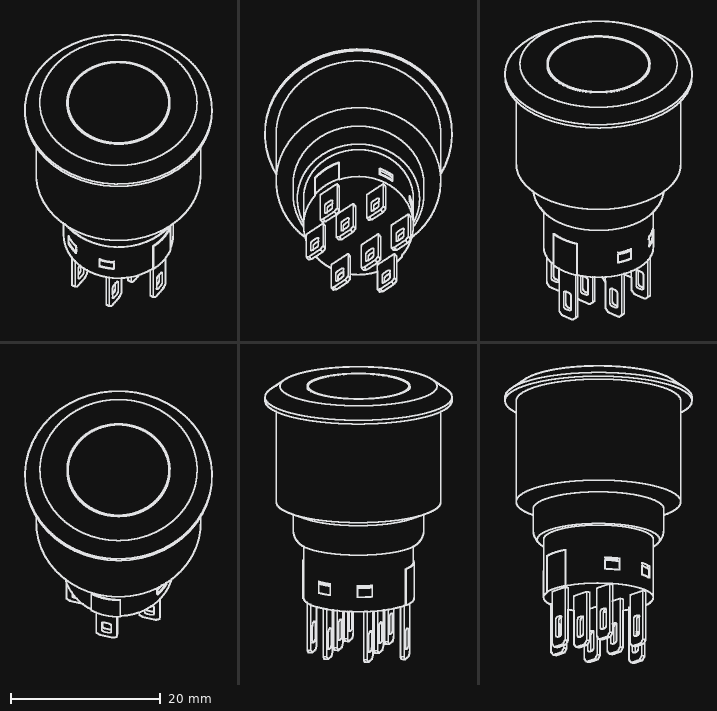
import cadquery as cq
import math

TOTAL_HEIGHT = 37.0

FLANGE_DIAMETER = 25.0
FLANGE_HEIGHT = 2.0
BEVEL_HEIGHT = 1.48
BEVEL_WIDTH = 2.0

BUTTON_DIAMETER = 13.75
BUTTON_BEVEL = 0.15

BARREL_DIAMETER = 22.0
BARREL_BOTTOM_DEPTH = 16.0
TAPER_BOTTOM_DEPTH = 17.0
COLLAR_DIAMETER = 17.5
COLLAR_BOTTOM_DEPTH = 21.2
COLLAR_EDGE_RADIUS = 2.0
COLLAR_EDGE_HEIGHT = 1.4
HOUSING_DIAMETER = 14.7
HOUSING_BOTTOM_DEPTH = 29.23

PANEL_WIDTH = 4.0
PANEL_HEIGHT = 5.0
PANEL_THICKNESS = 0.1

WINDOW_OFFSET = 2.8
WINDOW_WIDTH = 1.8
WINDOW_HEIGHT = 1.6
WINDOW_BOTTOM_DEPTH = 27.25
LATCH_DIAMETER = 14.43
GAP_HEIGHT = 0.37
GAP_FLOOR_DIAMETER = 13.3

TERMINAL_THICKNESS = 0.5
TERMINAL_WIDTH = 2.8
TERMINAL_CHAMFER = 0.48
SHORT_TIP_HEIGHT = 0.6
SHORT_TERMINAL_X = 2.8
SHORT_TERMINAL_PITCH = 5.0
LONG_TERMINAL_X = 6.48
EYELET_WIDTH = 1.25
EYELET_HEIGHT = 2.78
EYELET_CORNER_RADIUS = 0.37
EYELET_ABOVE_TIP = 1.25

FLANGE_BOTTOM = TOTAL_HEIGHT - FLANGE_HEIGHT
BARREL_BOTTOM = TOTAL_HEIGHT - BARREL_BOTTOM_DEPTH
TAPER_BOTTOM = TOTAL_HEIGHT - TAPER_BOTTOM_DEPTH
COLLAR_BOTTOM = TOTAL_HEIGHT - COLLAR_BOTTOM_DEPTH
HOUSING_BOTTOM = TOTAL_HEIGHT - HOUSING_BOTTOM_DEPTH
WINDOW_BOTTOM = TOTAL_HEIGHT - WINDOW_BOTTOM_DEPTH


def cylinder(diameter, bottom, height):
    return cq.Workplane("XY").workplane(offset=bottom).circle(diameter / 2).extrude(height)


def make_body():
    """Turned body; the collar's lower edge is an arc that ends on a flat step."""
    flange_radius = FLANGE_DIAMETER / 2
    barrel_radius = BARREL_DIAMETER / 2
    collar_radius = COLLAR_DIAMETER / 2
    housing_radius = HOUSING_DIAMETER / 2
    edge_reach = math.sqrt(COLLAR_EDGE_RADIUS**2 - COLLAR_EDGE_HEIGHT**2)
    collar_bottom_radius = collar_radius - COLLAR_EDGE_RADIUS + edge_reach
    return (
        cq.Workplane("XZ")
        .moveTo(0, TOTAL_HEIGHT)
        .lineTo(flange_radius - BEVEL_WIDTH, TOTAL_HEIGHT)
        .lineTo(flange_radius, TOTAL_HEIGHT - BEVEL_HEIGHT)
        .lineTo(flange_radius, FLANGE_BOTTOM)
        .lineTo(barrel_radius, FLANGE_BOTTOM)
        .lineTo(barrel_radius, BARREL_BOTTOM)
        .lineTo(collar_radius, TAPER_BOTTOM)
        .lineTo(collar_radius, COLLAR_BOTTOM + COLLAR_EDGE_HEIGHT)
        .radiusArc((collar_bottom_radius, COLLAR_BOTTOM), COLLAR_EDGE_RADIUS)
        .lineTo(housing_radius, COLLAR_BOTTOM)
        .lineTo(housing_radius, HOUSING_BOTTOM)
        .lineTo(0, HOUSING_BOTTOM)
        .close()
        .revolve(360, (0, 0, 0), (0, 1, 0))
    )


def make_button_groove():
    """Ring left between the bevelled button edge and the flange bore."""
    button_radius = BUTTON_DIAMETER / 2
    return (
        cq.Workplane("XZ")
        .moveTo(button_radius - BUTTON_BEVEL, TOTAL_HEIGHT)
        .lineTo(button_radius, TOTAL_HEIGHT)
        .lineTo(button_radius, TOTAL_HEIGHT - BUTTON_BEVEL)
        .close()
        .revolve(360, (0, 0, 0), (0, 1, 0))
    )


def make_side_panels():
    """Thin curved panels on the -X and +X sides of the housing."""
    panel_diameter = HOUSING_DIAMETER + 2 * PANEL_THICKNESS
    bar = (
        cq.Workplane("XY")
        .workplane(offset=HOUSING_BOTTOM)
        .rect(panel_diameter, PANEL_WIDTH)
        .extrude(PANEL_HEIGHT)
    )
    return bar.intersect(cylinder(panel_diameter, HOUSING_BOTTOM, PANEL_HEIGHT))


def make_window_cutters():
    """Four windows: a shallow latch face with a deeper gap above it."""
    gap_bottom = WINDOW_BOTTOM + WINDOW_HEIGHT - GAP_HEIGHT
    columns = (
        cq.Workplane("XY")
        .workplane(offset=WINDOW_BOTTOM)
        .pushPoints([(-WINDOW_OFFSET, 0), (WINDOW_OFFSET, 0)])
        .rect(WINDOW_WIDTH, HOUSING_DIAMETER)
        .extrude(WINDOW_HEIGHT)
    )
    latch_core = cylinder(LATCH_DIAMETER, WINDOW_BOTTOM, WINDOW_HEIGHT - GAP_HEIGHT)
    gap_core = cylinder(GAP_FLOOR_DIAMETER, gap_bottom, GAP_HEIGHT)
    return columns.cut(latch_core).cut(gap_core)


def make_terminal(x, y, tip_height):
    """Upright blade with a chamfered tip and a rounded solder eyelet."""
    blade = (
        cq.Workplane("XY")
        .box(TERMINAL_THICKNESS, TERMINAL_WIDTH, HOUSING_BOTTOM - tip_height, centered=(True, True, False))
        .faces("<Z")
        .edges("|X")
        .chamfer(TERMINAL_CHAMFER)
    )
    eyelet = (
        cq.Workplane("XY")
        .box(TERMINAL_THICKNESS, EYELET_WIDTH, EYELET_HEIGHT, centered=(True, True, False))
        .edges("|X")
        .fillet(EYELET_CORNER_RADIUS)
        .translate((0, 0, EYELET_ABOVE_TIP))
    )
    return blade.cut(eyelet).translate((x, y, tip_height))


result = make_body().cut(make_button_groove()).union(make_side_panels()).cut(make_window_cutters())
for side in (-1, 1):
    result = result.union(make_terminal(side * LONG_TERMINAL_X, 0, 0))
    for row in (-1, 0, 1):
        short_terminal = make_terminal(side * SHORT_TERMINAL_X, row * SHORT_TERMINAL_PITCH, SHORT_TIP_HEIGHT)
        result = result.union(short_terminal)